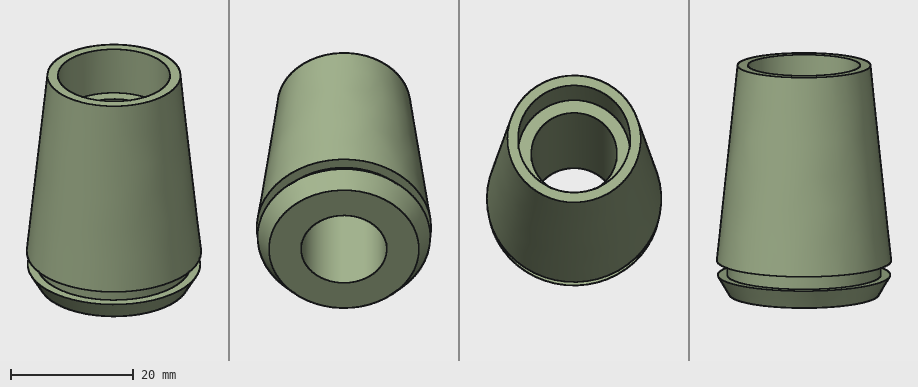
import cadquery as cq

total_height = 38.0
flange_height = 3.2
groove_width = 2.4
groove_top = flange_height + groove_width

base_diameter = 24.47
flange_diameter = 28.2
groove_diameter = 25.08
body_diameter = 28.5
nose_diameter = 21.75

bore_diameter = 14.0
counterbore_diameter = 18.3
counterbore_depth = 8.0


def outer_body():
    """Revolve the flange, groove and tapered body about Z."""
    profile = (
        cq.Workplane("XZ")
        .moveTo(0, 0)
        .lineTo(base_diameter / 2, 0)
        .lineTo(flange_diameter / 2, flange_height)
        .lineTo(groove_diameter / 2, flange_height)
        .lineTo(groove_diameter / 2, groove_top)
        .lineTo(body_diameter / 2, groove_top)
        .lineTo(nose_diameter / 2, total_height)
        .lineTo(0, total_height)
        .close()
    )
    return profile.revolve(360, (0, 0, 0), (0, 1, 0))


result = (
    outer_body()
    .faces(">Z")
    .workplane()
    .cboreHole(bore_diameter, counterbore_diameter, counterbore_depth)
)